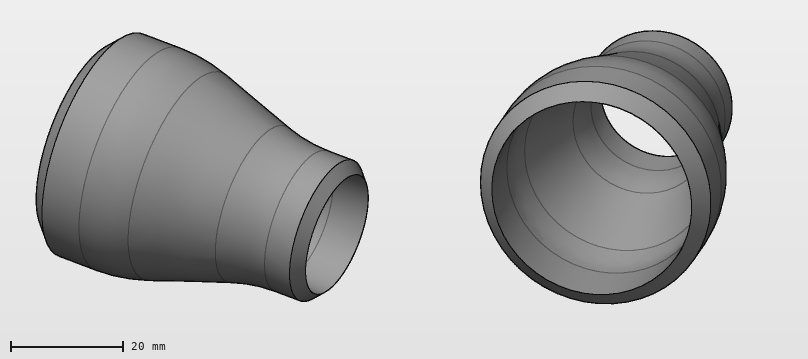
import cadquery as cq
import math

length = 51.0
large_outer_radius = 42.2 / 2
small_outer_radius = 26.65 / 2
large_wall = 2.8
small_wall = 2.1

outer_transition_start = 10.35
bore_transition_start = 10.85
transition_end = 43.8
bend_radius = 30.0

large_bore_radius = large_outer_radius - large_wall
small_bore_radius = small_outer_radius - small_wall


def slope_angle(transition_start, large_radius, small_radius):
    """Angle of the cone that joins two equal, opposite bends tangentially."""
    run = transition_end - transition_start
    drop = large_radius - small_radius
    rise_between_centers = 2 * bend_radius - drop
    center_distance = math.hypot(run, rise_between_centers)
    return math.asin(2 * bend_radius / center_distance) - math.atan2(rise_between_centers, run)


def reducer_solid(transition_start, large_radius, small_radius, large_end_radius, small_end_radius):
    """Solid of revolution bounded by a reducer surface.

    An end is beveled when its radius is smaller than the adjoining pipe radius.
    """
    angle = slope_angle(transition_start, large_radius, small_radius)

    def large_bend(turn):
        x = transition_start + bend_radius * math.sin(turn)
        return x, large_radius - bend_radius * (1 - math.cos(turn))

    def small_bend(turn):
        x = transition_end - bend_radius * math.sin(turn)
        return x, small_radius + bend_radius * (1 - math.cos(turn))

    profile = cq.Workplane("XY").moveTo(0, 0).lineTo(0, large_end_radius)
    if large_end_radius < large_radius:
        profile = profile.lineTo(large_radius - large_end_radius, large_radius)
    profile = (
        profile.lineTo(*large_bend(0))
        .threePointArc(large_bend(angle / 2), large_bend(angle))
        .lineTo(*small_bend(angle))
        .threePointArc(small_bend(angle / 2), small_bend(0))
    )
    if small_end_radius < small_radius:
        profile = profile.lineTo(length - (small_radius - small_end_radius), small_radius)
    profile = profile.lineTo(length, small_end_radius).lineTo(length, 0).close()
    return profile.revolve(360, (0, 0, 0), (1, 0, 0))


outer_body = reducer_solid(
    outer_transition_start, large_outer_radius, small_outer_radius, large_bore_radius, small_bore_radius
)
bore = reducer_solid(
    bore_transition_start, large_bore_radius, small_bore_radius, large_bore_radius, small_bore_radius
)

result = outer_body.cut(bore)